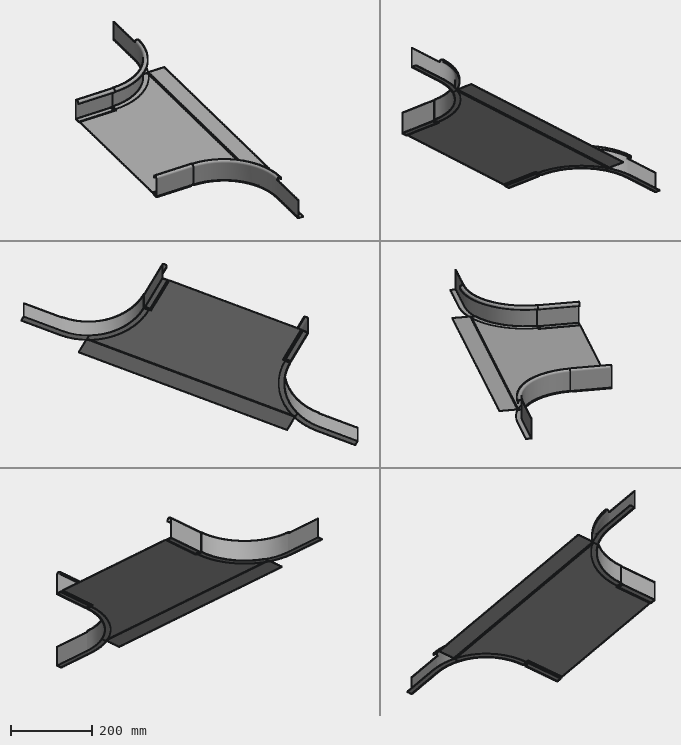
import cadquery as cq

OVERALL_WIDTH = 910.0
OVERALL_DEPTH = 300.0
OVERALL_HEIGHT = 61.0
SHEET = 1.3
STEP = 1.1

BEND_RADIUS = 150.0
STRAIGHT_LENGTH = 105.0
FLANGE_WIDTH = 15.0
LIP_RADIUS = 6.0
LIP_DROP = 3.0

TAB_HALF_WIDTH = 284.0
STRIP_WIDTH = 18.0
JOGGLE_RUN = 3.0
RELIEF_LENGTH = 5.5

BEND_X = OVERALL_WIDTH / 2 - STRAIGHT_LENGTH
BEND_Y = STRAIGHT_LENGTH
WALL_X = BEND_X - BEND_RADIUS
WALL_Y = BEND_Y + BEND_RADIUS
LIP_Z = OVERALL_HEIGHT - LIP_RADIUS
FLANGE_TOP = STEP + SHEET
STEP_Y = BEND_Y - RELIEF_LENGTH
LEG_FACE = WALL_X - STEP
STRIP_OUTER = LEG_FACE - SHEET
JOGGLE_X = STRIP_OUTER - STRIP_WIDTH
JOGGLE_Y = WALL_Y - JOGGLE_RUN


def tail_profile(plane, face, bottom):
    """Wall and bottom flange; `face` is the outer wall face and material lies towards +x."""
    return (
        cq.Workplane(plane)
        .moveTo(face, bottom)
        .lineTo(face + FLANGE_WIDTH, bottom)
        .lineTo(face + FLANGE_WIDTH, bottom + SHEET)
        .lineTo(face + SHEET, bottom + SHEET)
        .lineTo(face + SHEET, LIP_Z)
        .lineTo(face, LIP_Z)
        .close()
    )


def lipped_profile(plane, face, bottom):
    """Wall with bottom flange and a half-round lip turned down at the top."""
    middle = face + LIP_RADIUS
    inner_radius = LIP_RADIUS - SHEET
    return (
        cq.Workplane(plane)
        .moveTo(face, bottom)
        .lineTo(face + FLANGE_WIDTH, bottom)
        .lineTo(face + FLANGE_WIDTH, bottom + SHEET)
        .lineTo(face + SHEET, bottom + SHEET)
        .lineTo(face + SHEET, LIP_Z)
        .threePointArc((middle, LIP_Z + inner_radius), (middle + inner_radius, LIP_Z))
        .lineTo(middle + inner_radius, LIP_Z - LIP_DROP)
        .lineTo(middle + LIP_RADIUS, LIP_Z - LIP_DROP)
        .lineTo(middle + LIP_RADIUS, LIP_Z)
        .threePointArc((middle, OVERALL_HEIGHT), (face, LIP_Z))
        .close()
    )


def side_wall(mirrored):
    """One side wall, built on the -X side and mirrored to the +X side when asked."""
    leg = lipped_profile("XZ", -LEG_FACE, 0).extrude(-STRAIGHT_LENGTH)
    relief = (
        cq.Workplane("XY", origin=(-LEG_FACE, STEP_Y, 0))
        .rect(FLANGE_WIDTH, RELIEF_LENGTH, centered=False)
        .extrude(FLANGE_TOP)
    )
    bend = (
        lipped_profile("XZ", BEND_RADIUS, STEP)
        .revolve(90, (0, 0, 0), (0, 1, 0))
        .translate((-BEND_X, BEND_Y, 0))
    )
    tail = (
        tail_profile("YZ", WALL_Y, STEP)
        .extrude(-STRAIGHT_LENGTH)
        .translate((-BEND_X, 0, 0))
    )
    wall = leg.cut(relief).union(bend).union(tail)
    return wall.mirror("YZ") if mirrored else wall


def stepped_sheet(plane, start, joggle, end, rise):
    """Section of a sheet on the flanges that changes level by `rise` at `joggle`."""
    bottom = FLANGE_TOP
    top = FLANGE_TOP + SHEET
    return (
        cq.Workplane(plane)
        .moveTo(start, bottom)
        .lineTo(joggle, bottom)
        .lineTo(joggle + JOGGLE_RUN, bottom + rise)
        .lineTo(end, bottom + rise)
        .lineTo(end, top + rise)
        .lineTo(joggle + JOGGLE_RUN, top + rise)
        .lineTo(joggle, top)
        .lineTo(start, top)
        .close()
    )


def floor_plate():
    rear = (
        stepped_sheet("YZ", BEND_Y, JOGGLE_Y, OVERALL_DEPTH, SHEET)
        .extrude(TAB_HALF_WIDTH, both=True)
    )
    inside_bends = (
        cq.Workplane("XY")
        .pushPoints([(-BEND_X, BEND_Y), (BEND_X, BEND_Y)])
        .circle(BEND_RADIUS + SHEET)
        .extrude(OVERALL_HEIGHT)
    )
    middle = (
        cq.Workplane("XY", origin=(0, BEND_Y / 2, FLANGE_TOP))
        .rect(2 * JOGGLE_X, BEND_Y)
        .extrude(SHEET)
    )
    strip = stepped_sheet("XZ", 0, JOGGLE_X, STRIP_OUTER, -STEP).extrude(-STEP_Y)
    return rear.cut(inside_bends).union(middle).union(strip).union(strip.mirror("YZ"))


side_walls = [side_wall(mirrored) for mirrored in (False, True)]
floor = floor_plate()

result = cq.Compound.makeCompound([*[wall.val() for wall in side_walls], floor.val()])